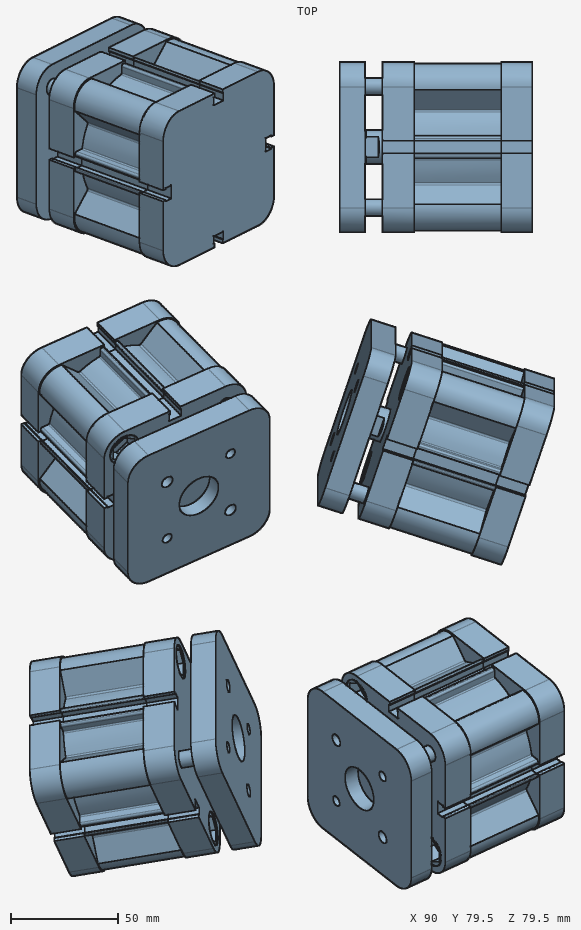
import cadquery as cq
import math

total_length = 90.0
plate_thickness = 12.0
gap = 8.0
front_cap_length = 14.9
rear_cap_length = 14.6

front_face = plate_thickness + gap
tube_start = front_face + front_cap_length
tube_end = total_length - rear_cap_length

width = 79.5
half_width = width / 2
corner_radius = 11.5
guide_offset = 28.3

pilot_diameter = 22.0
pilot_depth = 7.6
plate_hole_offset = 17.7
thread_hole_diameter = 6.0
dowel_hole_diameter = 5.0

rod_diameter = 16.0
rod_flats = 13.0
rod_flat_end = 6.0
rod_flat_runout = 0.6
rod_tip_chamfer = 0.45
pin_diameter = 8.0
rod_length = gap + front_cap_length

screw_head_diameter = 16.0
screw_head_depth = 0.5
hex_flats = 12.0
hex_depth = 6.5

tube_half_width = 39.1
tube_corner_radius = tube_half_width - guide_offset
tube_corner_end = 26.6
corner_rise = math.sqrt(tube_corner_radius**2 - (guide_offset - tube_corner_end) ** 2)
flank_end = guide_offset + corner_rise
flank_rise = flank_end - tube_corner_end
barrel_radius = 34.0
flank_fillet = 1.1
rib_height = 38.5
rib_half_width = 5.2
rib_outer_radius = 1.1
rib_mouth_radius = 0.405
rib_foot_fillet = 0.7

groove_mouth = 5.8
groove_width = 6.8
groove_lip_depth = 2.0
groove_depth = 5.9


def yz_plane(x):
    """Plane across the axis at station x; local x is +Y, local y is +Z."""
    return cq.Workplane("YZ", origin=(x, 0, 0))


def square_block(x, length):
    return yz_plane(x).rect(width, width).extrude(length).edges("|X").fillet(corner_radius)


def on_each_side(shape):
    """The shape in its four positions around the axis."""
    return [shape.rotate((0, 0, 0), (1, 0, 0), 90 * turn) for turn in range(4)]


def make_guide_pins():
    """Two guide pins on opposite corners, standing on the rear face of the plate."""
    spots = [(-guide_offset, guide_offset), (guide_offset, -guide_offset)]
    return yz_plane(plate_thickness).pushPoints(spots).circle(pin_diameter / 2).extrude(rod_length)


def make_tooling_plate():
    plate = square_block(0, plate_thickness)
    plate = plate.cut(yz_plane(0).circle(pilot_diameter / 2).extrude(pilot_depth))
    place = plate_hole_offset
    for diameter, spots in (
        (thread_hole_diameter, [(place, place), (-place, -place)]),
        (dowel_hole_diameter, [(-place, place), (place, -place)]),
    ):
        holes = yz_plane(0).pushPoints(spots).circle(diameter / 2).extrude(plate_thickness)
        plate = plate.cut(holes)
    return plate.union(make_guide_pins())


def make_piston_rod():
    rod = yz_plane(plate_thickness).circle(rod_diameter / 2).extrude(rod_length)
    rod = rod.faces("<X").chamfer(rod_tip_chamfer)
    radius = rod_diameter / 2
    flat_end = plate_thickness + rod_flat_end
    flat_cutter = (
        cq.Workplane("XZ")
        .moveTo(plate_thickness, rod_flats / 2)
        .lineTo(flat_end, rod_flats / 2)
        .lineTo(flat_end + rod_flat_runout, radius)
        .lineTo(plate_thickness, radius)
        .close()
        .extrude(radius, both=True)
    )
    return rod.cut(flat_cutter).cut(flat_cutter.mirror("XY"))


def cut_grooves(body, x, length):
    """Cut the T-shaped sensor groove into all four sides of a body."""
    lip = (
        yz_plane(x)
        .center(0, half_width - groove_depth / 2)
        .rect(groove_mouth, groove_depth)
        .extrude(length)
    )
    wide_depth = groove_depth - groove_lip_depth
    wide = (
        yz_plane(x)
        .center(0, half_width - groove_depth + wide_depth / 2)
        .rect(groove_width, wide_depth)
        .extrude(length)
    )
    for groove in on_each_side(lip.union(wide)):
        body = body.cut(groove)
    return body


def make_screw_recess(y, z):
    """Cutter for a shallow round recess with a hexagon socket in its floor."""
    head = yz_plane(front_face).center(y, z).circle(screw_head_diameter / 2).extrude(screw_head_depth)
    across_corners = hex_flats / math.cos(math.pi / 6)
    socket = (
        yz_plane(front_face)
        .center(y, z)
        .polygon(6, across_corners)
        .extrude(screw_head_depth + hex_depth)
        .rotate((0, y, z), (1, y, z), 30)
    )
    return head.union(socket)


def make_cap(x, length):
    return cut_grooves(square_block(x, length), x, length)


def make_front_cap(seated_bodies):
    cap = make_cap(front_face, front_cap_length)
    for side in (1, -1):
        cap = cap.cut(make_screw_recess(side * guide_offset, side * guide_offset))
    for body in seated_bodies:
        cap = cap.cut(body)
    return cap


def make_corner_post(length):
    """Tube corner: round outside, with 45 degree flanks leading in to the barrel."""
    diagonal = guide_offset + tube_corner_radius / math.sqrt(2)
    return (
        yz_plane(tube_start)
        .moveTo(0, flank_rise)
        .lineTo(tube_corner_end, flank_end)
        .threePointArc((diagonal, diagonal), (flank_end, tube_corner_end))
        .lineTo(flank_rise, 0)
        .close()
        .extrude(length)
    )


def make_rib(length):
    """Rib carrying one sensor groove, rounded at its outer edges."""
    rib = (
        yz_plane(tube_start)
        .center(0, rib_height / 2)
        .rect(2 * rib_half_width, rib_height)
        .extrude(length)
    )
    return rib.edges("|X and >Z").fillet(rib_outer_radius)


def lengthwise_edges(tube, y, z):
    """Lengthwise edges at (y, z) and at its mirrored places around the tube."""
    tolerance = 0.045
    found = []
    for edge in tube.edges("|X").vals():
        centre = edge.Center()
        near, far = sorted((abs(centre.y), abs(centre.z)))
        if abs(near - y) < tolerance and abs(far - z) < tolerance:
            found.append(edge)
    return tube.newObject(found)


def make_tube():
    length = tube_end - tube_start
    tube = yz_plane(tube_start).circle(barrel_radius).extrude(length)
    for post in on_each_side(make_corner_post(length)):
        tube = tube.union(post)
    for rib in on_each_side(make_rib(length)):
        tube = tube.union(rib)

    flank_y = (math.sqrt(2 * barrel_radius**2 - flank_rise**2) - flank_rise) / 2
    tube = lengthwise_edges(tube, flank_y, flank_y + flank_rise).fillet(flank_fillet)
    rib_foot = math.sqrt(barrel_radius**2 - rib_half_width**2)
    tube = lengthwise_edges(tube, rib_half_width, rib_foot).fillet(rib_foot_fillet)

    tube = cut_grooves(tube, tube_start, length)
    return lengthwise_edges(tube, groove_mouth / 2, rib_height).fillet(rib_mouth_radius)


tooling_plate = make_tooling_plate()
piston_rod = make_piston_rod()
front_cap = make_front_cap([piston_rod, tooling_plate])
tube = make_tube()
rear_cap = make_cap(tube_end, rear_cap_length)

bodies = [tooling_plate, piston_rod, front_cap, tube, rear_cap]
result = cq.Compound.makeCompound([body.solids().val() for body in bodies])